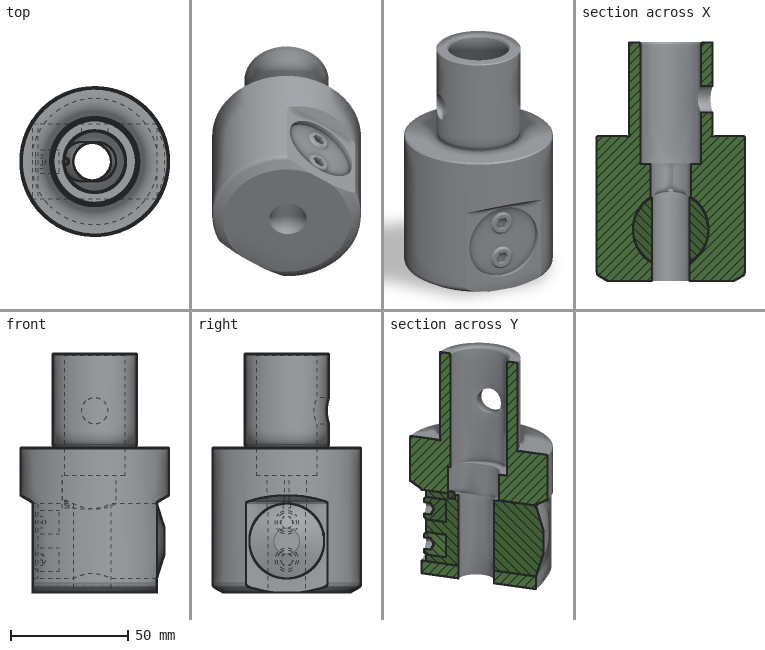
import math

import cadquery as cq

BODY_RADIUS = 31.75
BODY_HEIGHT = 62.0
BODY_TOP_CHAMFER = 0.6
BOTTOM_FACE_RADIUS = 27.0
BOTTOM_CONE_SLOPE = 30.0
BOTTOM_EDGE_FILLET = 2.2

SHANK_RADIUS = 18.0
SHANK_LENGTH = 40.0
SHANK_TOP_CHAMFER = 0.4
TOTAL_HEIGHT = BODY_HEIGHT + SHANK_LENGTH

RELIEF_OUTER_RADIUS = 19.05
RELIEF_FLOOR_RADIUS = 18.5
RELIEF_NECK_RADIUS = 17.75
RELIEF_DEPTH = 0.2
RELIEF_HEIGHT = 1.3

BORE_RADIUS = 12.9
BORE_FLOOR_Z = 50.0
BORE_CHAMFER_WIDTH = 0.5
BORE_CHAMFER_DEPTH = 0.9
SLOT_LENGTH = 22.8
SLOT_WIDTH = 16.9
SLOT_CENTER_X = -2.3

SIDE_HOLE_RADIUS = 5.6
SIDE_HOLE_Z = 77.6

FLAT_X = 26.5
FLAT_TOP_Z = 38.5
FLAT_SHOULDER_SLOPE = 30.0
FLAT_SHOULDER_FILLET = 1.0

PIN_RADIUS = 16.0
PIN_Z = 22.0
PIN_RECESS = 2.2
PIN_FACE_X = PIN_RECESS - FLAT_X
PIN_EDGE_CHAMFER = 0.2
PIN_TIP_X = 29.8
PIN_TIP_RADIUS = 5.5

PASSAGE_RADIUS = 8.0
PASSAGE_X = -1.1

SCREW_RADIUS = 5.0
SCREW_PITCH = 16.0
SCREW_LENGTH = 10.0
SCREW_CHAMFER = 0.9
SCREW_PROTRUSION = 0.9
SOCKET_FLATS = 5.0
SOCKET_DEPTH = 3.0
DRILL_POINT_ANGLE = 120.0

DOWEL_RADIUS = 1.5
DOWEL_SHOULDER_RADIUS = 1.15
DOWEL_X = -12.5
DOWEL_BOTTOM_Z = 36.0
DOWEL_SHOULDER_Z = 39.0
DOWEL_CONE_HEIGHT = 0.5


def rise(run, slope):
    """Height gained over a horizontal run at a slope in degrees."""
    return run * math.tan(math.radians(slope))


def upright_cylinder(radius, x, bottom_z, top_z):
    return cq.Workplane("XY", origin=(x, 0, bottom_z)).circle(radius).extrude(top_z - bottom_z)


def pin_bore():
    """Cross bore for the pin, from flat to flat."""
    return cq.Workplane("YZ", origin=(0, 0, PIN_Z)).circle(PIN_RADIUS).extrude(FLAT_X, both=True)


def lower_body():
    cone_height = rise(BODY_RADIUS - BOTTOM_FACE_RADIUS, BOTTOM_CONE_SLOPE)
    body = (
        cq.Workplane("XZ")
        .polyline(
            [
                (0, 0),
                (BOTTOM_FACE_RADIUS, 0),
                (BODY_RADIUS, cone_height),
                (BODY_RADIUS, BODY_HEIGHT),
                (0, BODY_HEIGHT),
            ]
        )
        .close()
        .revolve(360, (0, 0), (0, 1))
    )
    body = body.faces(">Z").chamfer(BODY_TOP_CHAMFER)
    cone_edge = cq.selectors.BoxSelector(
        (-BODY_RADIUS - 1, -BODY_RADIUS - 1, cone_height - 1),
        (BODY_RADIUS + 1, BODY_RADIUS + 1, cone_height + 1),
        boundingbox=True,
    )
    return body.edges(cone_edge).fillet(BOTTOM_EDGE_FILLET)


def shank():
    return upright_cylinder(SHANK_RADIUS, 0, BODY_HEIGHT, TOTAL_HEIGHT).faces(">Z").chamfer(SHANK_TOP_CHAMFER)


def relief_groove():
    groove_floor_z = BODY_HEIGHT - RELIEF_DEPTH
    return (
        cq.Workplane("XZ")
        .moveTo(RELIEF_OUTER_RADIUS, BODY_HEIGHT)
        .lineTo(RELIEF_FLOOR_RADIUS, groove_floor_z)
        .lineTo(RELIEF_NECK_RADIUS, groove_floor_z)
        .lineTo(RELIEF_NECK_RADIUS, BODY_HEIGHT + RELIEF_DEPTH)
        .lineTo(SHANK_RADIUS, BODY_HEIGHT + RELIEF_HEIGHT)
        .lineTo(RELIEF_OUTER_RADIUS, BODY_HEIGHT + RELIEF_HEIGHT)
        .close()
        .revolve(360, (0, 0), (0, 1))
    )


def shank_bore():
    """Bore with a steep entry chamfer."""
    return (
        cq.Workplane("XZ")
        .polyline(
            [
                (0, BORE_FLOOR_Z),
                (BORE_RADIUS, BORE_FLOOR_Z),
                (BORE_RADIUS, TOTAL_HEIGHT - BORE_CHAMFER_DEPTH),
                (BORE_RADIUS + BORE_CHAMFER_WIDTH, TOTAL_HEIGHT),
                (0, TOTAL_HEIGHT),
            ]
        )
        .close()
        .revolve(360, (0, 0), (0, 1))
    )


def floor_slot():
    """Slot from the bore floor down into the cross bore."""
    return (
        cq.Workplane("XY", origin=(SLOT_CENTER_X, 0, PIN_Z))
        .slot2D(SLOT_LENGTH, SLOT_WIDTH)
        .extrude(BORE_FLOOR_Z - PIN_Z)
    )


def dowel_notch():
    """Notch in the -X end of the floor slot that clears the dowel."""
    return upright_cylinder(DOWEL_RADIUS, DOWEL_X, DOWEL_BOTTOM_Z, BORE_FLOOR_Z)


def side_hole():
    return cq.Workplane("XZ", origin=(0, 0, SIDE_HOLE_Z)).circle(SIDE_HOLE_RADIUS).extrude(-SHANK_RADIUS)


def flat_cut():
    """Material removed outside the +X flat, with a sloped shoulder above it."""
    outer_x = BODY_RADIUS + 1
    shoulder_z = FLAT_TOP_Z + rise(outer_x - FLAT_X, FLAT_SHOULDER_SLOPE)
    corner = cq.selectors.NearestToPointSelector((FLAT_X, 0, FLAT_TOP_Z))
    return (
        cq.Workplane("XZ")
        .polyline([(FLAT_X, 0), (FLAT_X, FLAT_TOP_Z), (outer_x, shoulder_z), (outer_x, 0)])
        .close()
        .extrude(BODY_RADIUS, both=True)
        .edges(corner)
        .fillet(FLAT_SHOULDER_FILLET)
    )


def passage():
    return upright_cylinder(PASSAGE_RADIUS, PASSAGE_X, 0, BORE_FLOOR_Z)


def make_housing():
    housing = lower_body().union(shank()).cut(relief_groove())
    housing = housing.cut(shank_bore()).cut(floor_slot()).cut(dowel_notch()).cut(side_hole())
    plus_x_cut = flat_cut()
    housing = housing.cut(plus_x_cut).cut(plus_x_cut.mirror("YZ"))
    return housing.cut(pin_bore()).cut(passage())


def screw_blank(z):
    """Set screw without its socket, its chamfered head standing out of the pin's -X face."""
    head_x = PIN_FACE_X - SCREW_PROTRUSION
    return (
        cq.Workplane("YZ", origin=(head_x, 0, z))
        .circle(SCREW_RADIUS)
        .extrude(SCREW_LENGTH)
        .faces("<X")
        .chamfer(SCREW_CHAMFER)
    )


def hex_socket(z):
    """Hexagon socket that ends in a drill point."""
    head_x = PIN_FACE_X - SCREW_PROTRUSION
    floor_x = head_x + SOCKET_DEPTH
    corner_diameter = SOCKET_FLATS / math.cos(math.pi / 6)
    point_radius = SOCKET_FLATS / 2
    point_depth = point_radius / math.tan(math.radians(DRILL_POINT_ANGLE / 2))
    hexagon = cq.Workplane("YZ", origin=(head_x, 0, z)).polygon(6, corner_diameter).extrude(SOCKET_DEPTH)
    point = cq.Solid.makeCone(point_radius, 0, point_depth, cq.Vector(floor_x, 0, z), cq.Vector(1, 0, 0))
    return hexagon.union(cq.Workplane(point))


def make_screw(z):
    return screw_blank(z).cut(hex_socket(z))


def make_dowel():
    """Upright dowel with a chamfered shoulder and a shallow conical top."""
    shoulder_chamfer = DOWEL_RADIUS - DOWEL_SHOULDER_RADIUS
    return (
        cq.Workplane("XZ", origin=(DOWEL_X, 0, 0))
        .polyline(
            [
                (0, DOWEL_BOTTOM_Z),
                (DOWEL_RADIUS, DOWEL_BOTTOM_Z),
                (DOWEL_RADIUS, DOWEL_SHOULDER_Z - shoulder_chamfer),
                (DOWEL_SHOULDER_RADIUS, DOWEL_SHOULDER_Z),
                (0, DOWEL_SHOULDER_Z + DOWEL_CONE_HEIGHT),
            ]
        )
        .close()
        .revolve(360, (0, 0), (0, 1))
    )


def make_pin(screw_heights, dowel):
    """Cross pin with seats for the screws and the dowel."""
    pin = (
        cq.Workplane("XY", origin=(0, 0, PIN_Z))
        .polyline(
            [
                (PIN_FACE_X, 0),
                (PIN_FACE_X, PIN_RADIUS - PIN_EDGE_CHAMFER),
                (PIN_FACE_X + PIN_EDGE_CHAMFER, PIN_RADIUS),
                (FLAT_X, PIN_RADIUS),
                (PIN_TIP_X, PIN_TIP_RADIUS),
                (PIN_TIP_X, 0),
            ]
        )
        .close()
        .revolve(360, (0, 0), (1, 0))
    )
    pin = pin.cut(passage()).cut(dowel)
    for z in screw_heights:
        pin = pin.cut(screw_blank(z))
    return pin


screw_heights = [PIN_Z - SCREW_PITCH / 2, PIN_Z + SCREW_PITCH / 2]

housing = make_housing()
dowel = make_dowel()
pin = make_pin(screw_heights, dowel)
screws = [make_screw(z) for z in screw_heights]

result = cq.Compound.makeCompound(
    [housing.val(), pin.val(), dowel.val(), *[screw.val() for screw in screws]]
)